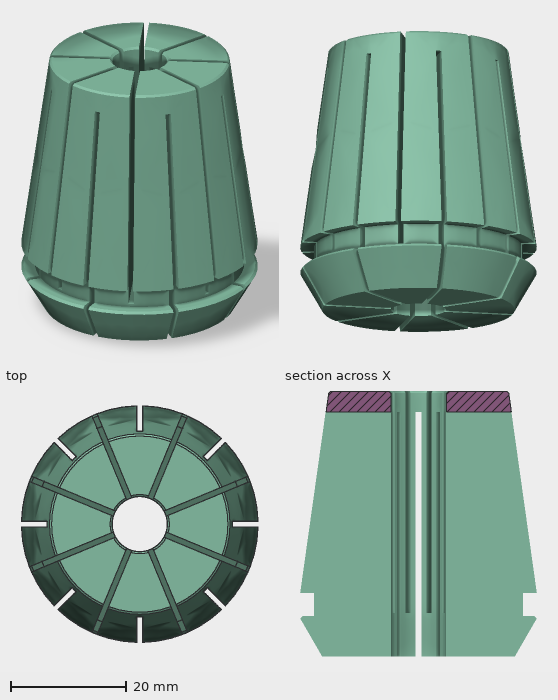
import cadquery as cq
import math

height = 46.0
rim_width = 41.0
bore_radius = 9.5 / 2

body_bottom_z = 11.05
taper_angle = 8.0
top_edge_chamfer = 0.3
bore_edge_chamfer = 0.35

neck_radius = 18.12
flange_top_z = 7.05
flange_chamfer = 0.4
nose_angle = 30.0

slots_per_end = 8
slot_width = 0.95
top_slot_floor_z = 7.6
nose_slot_roof_z = 42.4

max_radius = math.hypot(rim_width / 2, slot_width / 2)
slot_pitch = 360.0 / slots_per_end
top_radius = max_radius - (height - body_bottom_z) * math.tan(math.radians(taper_angle))
chamfer_base_radius = top_radius + top_edge_chamfer * math.tan(math.radians(taper_angle))
flange_rim_z = flange_top_z - flange_chamfer
nose_radius = max_radius - flange_rim_z * math.tan(math.radians(nose_angle))


def revolved_body():
    """Half section (radius, height) turned around the Z axis."""
    section = [
        (bore_radius, 0),
        (nose_radius, 0),
        (max_radius, flange_rim_z),
        (max_radius - flange_chamfer, flange_top_z),
        (neck_radius, flange_top_z),
        (neck_radius, body_bottom_z),
        (max_radius, body_bottom_z),
        (chamfer_base_radius, height - top_edge_chamfer),
        (top_radius - top_edge_chamfer, height),
        (bore_radius + bore_edge_chamfer, height),
        (bore_radius, height - bore_edge_chamfer),
    ]
    return cq.Workplane("XZ").polyline(section).close().revolve(360, (0, 0, 0), (0, 1, 0))


def radial_slots(bottom_z, top_z, first_angle):
    """Ring of slot cutters running from the axis out past the rim."""
    blade = (
        cq.Workplane("XY")
        .workplane(offset=bottom_z)
        .rect(2 * (max_radius + slot_width), slot_width)
        .extrude(top_z - bottom_z)
    )
    cutters = cq.Workplane("XY")
    for index in range(slots_per_end // 2):
        angle = first_angle + index * slot_pitch
        cutters = cutters.add(blade.rotate((0, 0, 0), (0, 0, 1), angle))
    return cutters.combine()


nose_slots = radial_slots(0, nose_slot_roof_z, 0)
top_slots = radial_slots(top_slot_floor_z, height, slot_pitch / 2)
result = revolved_body().cut(nose_slots).cut(top_slots)